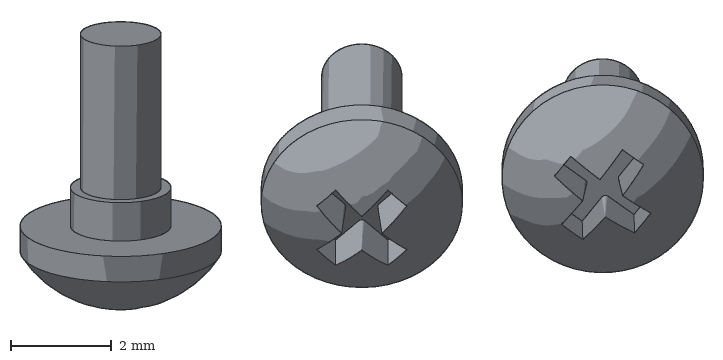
import cadquery as cq

shank_diameter = 1.6
shank_length = 3.2
collar_diameter = 2.0
collar_height = 0.8

head_diameter = 4.0
rim_height = 0.53
dome_height = 1.105

recess_width = 0.57
recess_span = 2.04
recess_depth = 1.0
recess_draft = 5

head_radius = head_diameter / 2
pole_z = -(rim_height + dome_height)
dome_radius = (head_radius**2 + dome_height**2) / (2 * dome_height)


def make_head():
    """Revolve the rim and dome about Z."""
    mid_height = dome_height / 2
    mid_radius = (mid_height * (2 * dome_radius - mid_height)) ** 0.5
    return (
        cq.Workplane("XZ")
        .lineTo(head_radius, 0)
        .lineTo(head_radius, -rim_height)
        .threePointArc((mid_radius, pole_z + mid_height), (0, pole_z))
        .close()
        .revolve(360, (0, 0, 0), (0, 1, 0))
    )


def make_stem():
    """Collar with the shank on top of it."""
    collar = cq.Workplane("XY").circle(collar_diameter / 2).extrude(collar_height)
    return collar.faces(">Z").workplane().circle(shank_diameter / 2).extrude(shank_length)


def make_recess():
    """Cross-shaped cutter that narrows upward into the head."""
    half_span = recess_span / 2
    half_width = recess_width / 2
    outline = [
        (half_span, -half_width), (half_span, half_width), (half_width, half_width),
        (half_width, half_span), (-half_width, half_span), (-half_width, half_width),
        (-half_span, half_width), (-half_span, -half_width), (-half_width, -half_width),
        (-half_width, -half_span), (half_width, -half_span), (half_width, -half_width),
    ]
    return (
        cq.Workplane("XY", origin=(0, 0, pole_z))
        .polyline(outline)
        .close()
        .extrude(recess_depth, taper=recess_draft)
    )


result = make_head().union(make_stem()).cut(make_recess())